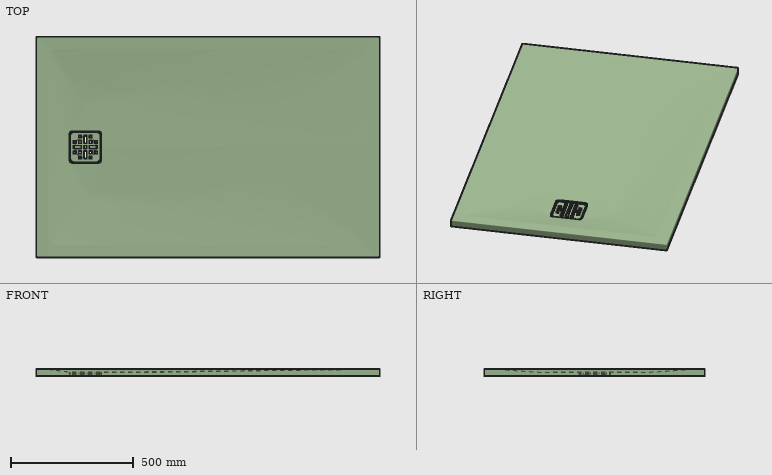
import cadquery as cq
import math

TRAY_LENGTH = 1400.0
TRAY_WIDTH = 900.0
TRAY_HEIGHT = 30.0
TRAY_CORNER_RADIUS = 5.0
TOP_EDGE_RADIUS = 3.0

RIM_INNER_LENGTH = 1302.0
RIM_INNER_WIDTH = 798.0
RIM_DROP = 1.0
RIM_INNER_RADIUS = 22.0
RIM_OUTER_RADIUS = TRAY_CORNER_RADIUS - TOP_EDGE_RADIUS
RIM_INNER_Z = TRAY_HEIGHT - RIM_DROP

FLOOR_DROP = 11.0
FLOOR_LOW_Z = RIM_INNER_Z - FLOOR_DROP
BASIN_CLEARANCE = 7.0

DRAIN_X = 200.0 - TRAY_LENGTH / 2
RECESS_SIZE = 130.0
RECESS_RADIUS = 14.0
OUTLET_DIAMETER = 90.0
SEAT_SLOPE = 0.09

GRATE_GAP = 4.0
GRATE_SIZE = RECESS_SIZE - 2 * GRATE_GAP
GRATE_RADIUS = 14.0
GRATE_THICKNESS = 4.0
GRATE_SINK = 3.0
GRATE_TOP_Z = FLOOR_LOW_Z - GRATE_SINK
GRATE_BOTTOM_Z = GRATE_TOP_Z - GRATE_THICKNESS

HOLE_SIZE = 10.1
BAR_WIDTH = 11.5
HOLE_PITCH = HOLE_SIZE + BAR_WIDTH
SLOT_LENGTH = HOLE_SIZE + HOLE_PITCH


def rounded_block(length, width, height, radius, center_x, bottom_z):
    """Upright block with rounded vertical edges."""
    block = cq.Workplane("XY", origin=(center_x, 0, bottom_z)).rect(length, width).extrude(height)
    return block.edges("|Z").fillet(radius)


def half_outline(length, width, radius, center_x, z):
    """Edges of the +Y half of a rounded rectangle, from its left end to its right end."""
    left = center_x - length / 2
    right = center_x + length / 2
    back = width / 2
    arc_inset = radius * (1 - math.sqrt(0.5))
    outline = (
        cq.Workplane("XY", origin=(0, 0, z))
        .moveTo(left, 0)
        .lineTo(left, back - radius)
        .threePointArc((left + arc_inset, back - arc_inset), (left + radius, back))
        .lineTo(right - radius, back)
        .threePointArc((right - arc_inset, back - arc_inset), (right, back - radius))
        .lineTo(right, 0)
    )
    return outline.wire().val().Edges()


def half_ring(outer, inner):
    """Smooth face spanning two half outlines, closed by straight edges on the plane Y = 0."""
    left_edge = cq.Edge.makeLine(outer[0].startPoint(), inner[0].startPoint())
    right_edge = cq.Edge.makeLine(outer[-1].endPoint(), inner[-1].endPoint())
    return cq.Face.makeNSidedSurface([*outer, right_edge, *inner, left_edge], [])


def flat_half(outline):
    """Level face closing a half outline along Y = 0."""
    chord = cq.Edge.makeLine(outline[-1].endPoint(), outline[0].startPoint())
    return cq.Face.makeFromWires(cq.Wire.assembleEdges([*outline, chord]))


def make_basin():
    """Volume above the rim and the floor, carried on above the tray top."""
    top_length = TRAY_LENGTH - 2 * TOP_EDGE_RADIUS
    top_width = TRAY_WIDTH - 2 * TOP_EDGE_RADIUS
    lid_z = TRAY_HEIGHT + BASIN_CLEARANCE
    lid_edge = half_outline(top_length, top_width, RIM_OUTER_RADIUS, 0, lid_z)
    rim_outer = half_outline(top_length, top_width, RIM_OUTER_RADIUS, 0, TRAY_HEIGHT)
    rim_inner = half_outline(RIM_INNER_LENGTH, RIM_INNER_WIDTH, RIM_INNER_RADIUS, 0, RIM_INNER_Z)
    recess_edge = half_outline(RECESS_SIZE, RECESS_SIZE, RECESS_RADIUS, DRAIN_X, FLOOR_LOW_Z)
    walls = [cq.Face.makeRuledSurface(low, high) for low, high in zip(rim_outer, lid_edge)]
    half_faces = [
        flat_half(lid_edge),
        *walls,
        half_ring(rim_outer, rim_inner),
        half_ring(rim_inner, recess_edge),
        flat_half(recess_edge),
    ]
    mirrored_faces = [face.mirror("XZ") for face in half_faces]
    return cq.Solid.makeSolid(cq.Shell.makeShell(half_faces + mirrored_faces))


def make_recess():
    """Square recess whose conical bottom carries the grate corners and falls to the outlet."""
    prism = rounded_block(RECESS_SIZE, RECESS_SIZE, FLOOR_LOW_Z, RECESS_RADIUS, DRAIN_X, 0)
    outlet_radius = OUTLET_DIAMETER / 2
    corner_reach = RECESS_SIZE / math.sqrt(2)
    grate_reach = (GRATE_SIZE / 2 - GRATE_RADIUS) * math.sqrt(2) + GRATE_RADIUS
    outlet_z = GRATE_BOTTOM_Z - SEAT_SLOPE * (grate_reach - outlet_radius)
    corner_z = outlet_z + SEAT_SLOPE * (corner_reach - outlet_radius)
    space = (
        cq.Workplane("XZ", origin=(DRAIN_X, 0, 0))
        .polyline(
            [
                (0, 0),
                (outlet_radius, 0),
                (outlet_radius, outlet_z),
                (corner_reach, corner_z),
                (corner_reach, FLOOR_LOW_Z),
                (0, FLOOR_LOW_Z),
            ]
        )
        .close()
        .revolve(360, (0, 0, 0), (0, 1, 0))
    )
    return prism.intersect(space)


def make_tray():
    """Rounded tray with the sloping top and the drain recess cut out."""
    block = rounded_block(TRAY_LENGTH, TRAY_WIDTH, TRAY_HEIGHT, TRAY_CORNER_RADIUS, 0, 0)
    block = block.faces(">Z").edges().fillet(TOP_EDGE_RADIUS)
    return block.cut(cq.Workplane(make_basin()), clean=False).cut(make_recess(), clean=False)


def make_grate():
    """Square plate with a cross of slots and the square holes around it."""
    plate = rounded_block(
        GRATE_SIZE, GRATE_SIZE, GRATE_THICKNESS, GRATE_RADIUS, DRAIN_X, GRATE_BOTTOM_Z
    )
    inner = HOLE_PITCH
    outer = 2 * HOLE_PITCH
    square_centers = [(0, 0)]
    for x_side in (-1, 1):
        for y_side in (-1, 1):
            for x, y in ((inner, inner), (inner, outer), (outer, inner)):
                square_centers.append((x_side * x, y_side * y))
    slot_center = (inner + outer) / 2
    base = cq.Workplane("XY", origin=(DRAIN_X, 0, GRATE_BOTTOM_Z))
    squares = base.pushPoints(square_centers).rect(HOLE_SIZE, HOLE_SIZE).extrude(GRATE_THICKNESS)
    x_slots = (
        base.pushPoints([(-slot_center, 0), (slot_center, 0)])
        .rect(SLOT_LENGTH, HOLE_SIZE)
        .extrude(GRATE_THICKNESS)
    )
    y_slots = (
        base.pushPoints([(0, -slot_center), (0, slot_center)])
        .rect(HOLE_SIZE, SLOT_LENGTH)
        .extrude(GRATE_THICKNESS)
    )
    return plate.cut(squares).cut(x_slots).cut(y_slots)


tray = make_tray()
grate = make_grate()
result = cq.Compound.makeCompound([tray.val(), grate.val()])